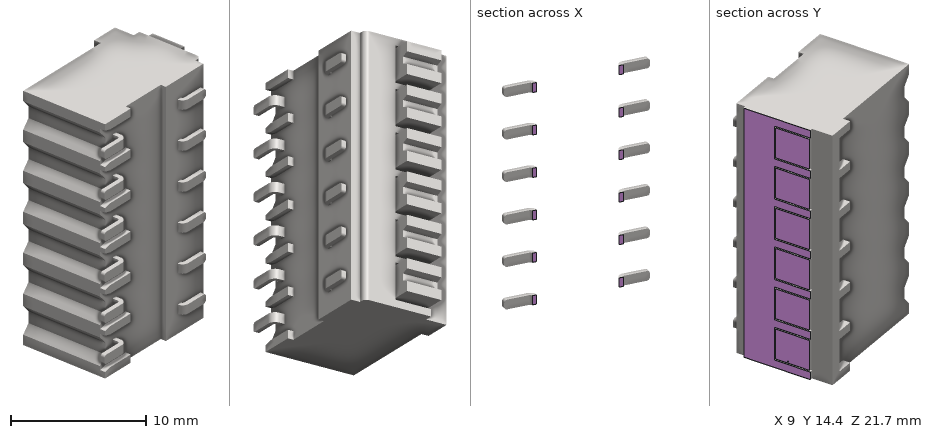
import cadquery as cq
import math

pole_count = 6
pitch = 3.5
wall = 0.7
height = pole_count * pitch + wall
cell_height = pitch - wall

width = 9.0
x_left = -width / 2
x_body = x_left + 0.63
x_crown_left = x_left + 1.8
x_crown_right = x_left + 7.66
x_back = x_left + 7.95
x_lug = x_left + 8.43
x_pin = width / 2

length = 14.38
y_actuator = length / 2
y_crown = y_actuator - 1.47
y_shoulder = y_actuator - 2.12
y_strip = y_actuator - 3.05
y_rib = y_actuator - 4.54
y_back_lug = y_actuator - 6.52
y_front_lug = y_actuator - 10.62
y_front = y_actuator - 13.62
crown_round = 0.4

groove_depth = 0.62
groove_mouth = 2.44
groove_floor = 1.0

slot_mouth = 3.1
slot_flare_depth = groove_depth

cell_clearance = 0.06
cell_flare_width = 0.1
cell_flare_depth = 0.2

actuator_width = 3.03
actuator_height = 2.65
notch_mouth = 1.02
notch_floor = 0.56
notch_depth = 0.54

pin_thickness = 0.38
pin_height = 0.8
pin_reach = 2.6
pin_bend_radius = x_pin - x_lug
pin_tip_round = 0.23
pin_embed = 0.2
y_back_pin_tip = y_actuator - 2.54
y_front_pin_tip = -length / 2


def box(x0, x1, y0, y1, z0, z1):
    """Box between two opposite corners."""
    return cq.Workplane("XY").box(x1 - x0, y1 - y0, z1 - z0, centered=False).translate((x0, y0, z0))


def prism_along_x(points, x0, x1):
    """Extrude a closed (y, z) outline from x0 to x1."""
    return cq.Workplane("YZ", origin=(x0, 0, 0)).polyline(points).close().extrude(x1 - x0)


def make_body():
    """Housing block with shoulder, rounded crown and two lugs on the +X side."""
    bottom = -height / 2
    return (
        cq.Workplane("XY", origin=(0, 0, bottom))
        .moveTo(x_body, y_front)
        .lineTo(x_lug, y_front)
        .lineTo(x_lug, y_front_lug)
        .lineTo(x_back, y_front_lug)
        .lineTo(x_back, y_back_lug)
        .lineTo(x_lug, y_back_lug)
        .lineTo(x_lug, y_shoulder)
        .lineTo(x_crown_right, y_shoulder)
        .lineTo(x_crown_right, y_crown - crown_round)
        .radiusArc((x_crown_right - crown_round, y_crown), -crown_round)
        .lineTo(x_crown_left, y_crown)
        .lineTo(x_crown_left, y_shoulder)
        .lineTo(x_left, y_shoulder)
        .lineTo(x_left, y_rib)
        .lineTo(x_body, y_rib)
        .close()
        .extrude(height)
    )


def rib_gap(z):
    """Space between neighbouring ribs on the -X side."""
    half = cell_height / 2
    return box(x_left, x_body, y_rib, y_strip, z - half, z + half)


def front_groove(z):
    """Flat-bottomed V groove across the front face."""
    mouth = groove_mouth / 2
    floor = groove_floor / 2
    y_floor = y_front + groove_depth
    outline = [(y_front, z - mouth), (y_floor, z - floor), (y_floor, z + floor), (y_front, z + mouth)]
    return prism_along_x(outline, x_body, x_lug)


def pin_slot(z):
    """Slot through the front lug, flared towards the front."""
    mouth = slot_mouth / 2
    half = cell_height / 2
    y_flare = y_front + slot_flare_depth
    outline = [
        (y_front, z - mouth),
        (y_flare, z - half),
        (y_front_lug, z - half),
        (y_front_lug, z + half),
        (y_flare, z + half),
        (y_front, z + mouth),
    ]
    return prism_along_x(outline, x_back, x_lug)


def crown_cell(z):
    """Cell in the crown around an actuator, open to -X and flared at the mouth."""
    half = cell_height / 2
    mouth = half + cell_flare_width
    y_flare = y_crown - cell_flare_depth
    outline = [
        (y_shoulder, z - half),
        (y_flare, z - half),
        (y_crown, z - mouth),
        (y_crown, z + mouth),
        (y_flare, z + half),
        (y_shoulder, z + half),
    ]
    return prism_along_x(outline, x_crown_left, x_crown_left + actuator_width + 2 * cell_clearance)


def actuator(z):
    """Push actuator rising from the shoulder, notched across its end."""
    half = actuator_height / 2
    y_notch = y_actuator - notch_depth
    outline = [
        (y_shoulder, z - half),
        (y_actuator, z - half),
        (y_actuator, z - notch_mouth / 2),
        (y_notch, z - notch_floor / 2),
        (y_notch, z + notch_floor / 2),
        (y_actuator, z + notch_mouth / 2),
        (y_actuator, z + half),
        (y_shoulder, z + half),
    ]
    x_start = x_crown_left + cell_clearance
    return prism_along_x(outline, x_start, x_start + actuator_width)


def pin(z, x_root, y_tip, direction):
    """L-shaped pin leaving the body along +X; direction is the Y sense from bend to tip."""
    y_bend = y_tip - direction * pin_reach
    y_inner = y_bend + direction * pin_thickness
    inner_radius = pin_bend_radius - pin_thickness
    x_inner = x_pin - pin_thickness
    x_centre = x_pin - pin_bend_radius
    y_centre = y_bend + direction * pin_bend_radius
    diagonal = math.sqrt(0.5)
    outer_middle = (x_centre + pin_bend_radius * diagonal, y_centre - direction * pin_bend_radius * diagonal)
    inner_middle = (x_centre + inner_radius * diagonal, y_centre - direction * inner_radius * diagonal)
    return (
        cq.Workplane("XY", origin=(0, 0, z - pin_height / 2))
        .moveTo(x_root, y_bend)
        .lineTo(x_centre, y_bend)
        .threePointArc(outer_middle, (x_pin, y_centre))
        .lineTo(x_pin, y_tip)
        .lineTo(x_inner, y_tip)
        .lineTo(x_inner, y_centre)
        .threePointArc(inner_middle, (x_centre, y_inner))
        .lineTo(x_root, y_inner)
        .close()
        .extrude(pin_height)
        .faces(">Y" if direction > 0 else "<Y")
        .edges("|X")
        .fillet(pin_tip_round)
    )


result = make_body()
for pole in range(pole_count):
    z_pole = (pole - (pole_count - 1) / 2) * pitch
    result = result.cut(rib_gap(z_pole))
    result = result.cut(front_groove(z_pole))
    result = result.cut(pin_slot(z_pole))
    result = result.cut(crown_cell(z_pole))
    result = result.union(actuator(z_pole))
    result = result.union(pin(z_pole, x_lug - pin_embed, y_back_pin_tip, 1))
    result = result.union(pin(z_pole, x_back - pin_embed, y_front_pin_tip, -1))